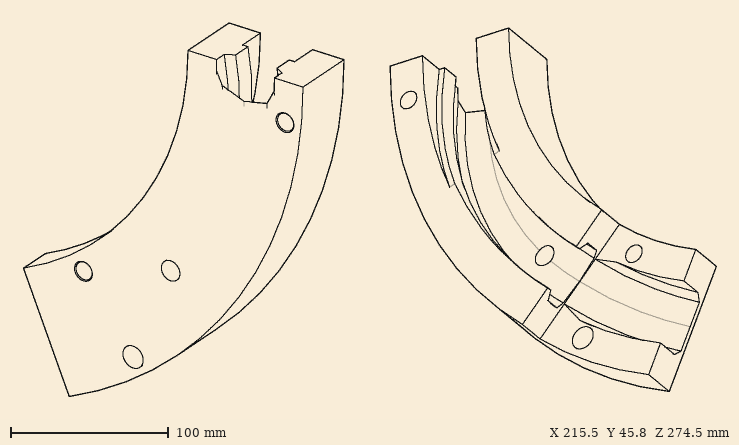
import cadquery as cq
import math

outer_radius = 299.1
inner_radius = 210.5
mid_radius = (outer_radius + inner_radius) / 2
segment_height = 274.5
thickness = 45.8
end_angle = math.degrees(math.asin(segment_height / outer_radius))

lap_angle = 48.0
front_layer = 24.7

neck_width = 31.8
lower_width = 44.5
upper_width = 40.0
floor_middle_y = -5.2
floor_edge_y = -4.0
floor_corner_width = 5.0
floor_corner_height = 2.2
wall_end_y = 8.5
neck_start_y = 12.0
neck_end_y = 25.8
track_rise = 30.2

pocket_width = 44.0
pocket_floor = 3.3
pocket_corner = 4.7

overrun = 1.5
path_points = 6

plain_holes = [
    (mid_radius, 39.3, 14.3),
    (286.2, 54.0, 15.6),
]
small_hole = 12.3
chamfered_holes = [
    (286.8, 5.9, small_hole),
    (223.5, 54.4, small_hole),
]
hole_chamfer = 0.69


def ring_point(radius, angle):
    """Return the (x, z) position at a radius and an angle below the +X axis."""
    turn = math.radians(angle)
    return (radius * math.cos(turn), -radius * math.sin(turn))


def ring_sector(start, stop, y_start, depth):
    """Solid ring sector between two angles, from y_start towards +Y."""
    middle = (start + stop) / 2
    return (
        cq.Workplane("XZ", origin=(0, y_start, 0))
        .moveTo(*ring_point(outer_radius, start))
        .threePointArc(ring_point(outer_radius, middle), ring_point(outer_radius, stop))
        .lineTo(*ring_point(inner_radius, stop))
        .threePointArc(ring_point(inner_radius, middle), ring_point(inner_radius, start))
        .close()
        .extrude(-depth)
    )


def swept_groove(half_outline, start, stop, rise_at):
    """Sweep a symmetric (half width, y) outline along the ring, raised by rise_at(angle)."""
    angles = [start + (stop - start) * i / (path_points - 1) for i in range(path_points)]
    points = []
    for angle in angles:
        x, z = ring_point(mid_radius, angle)
        points.append(cq.Vector(x, rise_at(angle), z))
    path_edge = cq.Edge.makeSpline(points)
    path = cq.Workplane("XY").add(path_edge).toPending()
    guide = cq.Workplane("XY").add(path_edge.translate(cq.Vector(0, thickness, 0))).toPending()

    turn = math.radians(start)
    profile_plane = cq.Plane(
        origin=points[0].toTuple(),
        xDir=(math.cos(turn), 0, -math.sin(turn)),
        normal=(math.sin(turn), 0, math.cos(turn)),
    )
    mirrored = [(-x, y) for x, y in reversed(half_outline) if x > 0]
    outline = cq.Workplane(profile_plane).polyline(half_outline + mirrored).close()
    return outline.sweep(path, auxSpine=guide)


def track_shift(angle):
    """Climb of the track, steepest at the upper end face and level at the lap."""
    return track_rise * math.sin(math.pi / 2 * angle / lap_angle)


def main_track():
    """Groove with a bevelled floor, wide walls, a narrow neck and a wider channel behind it."""
    half_width = lower_width / 2
    half_outline = [
        (0, floor_middle_y),
        (half_width - floor_corner_width, floor_edge_y),
        (half_width, floor_edge_y + floor_corner_height),
        (half_width, wall_end_y),
        (neck_width / 2, neck_start_y),
        (neck_width / 2, neck_end_y),
        (upper_width / 2, neck_end_y),
        (upper_width / 2, neck_end_y + thickness),
    ]
    return swept_groove(half_outline, -overrun, lap_angle + overrun, track_shift)


def pocket_shift(angle):
    """Floor height of the lap pocket above its lowest level at the end face."""
    return (front_layer - pocket_floor) * (end_angle - angle) / (end_angle - lap_angle)


def lap_pocket():
    """Bevelled channel in the front layer only, open to the lap face and the end face."""
    half_outline = [
        (0, pocket_floor),
        (pocket_width / 2 - pocket_corner, pocket_floor),
        (pocket_width / 2, pocket_floor + pocket_corner),
        (pocket_width / 2, pocket_floor + thickness),
    ]
    pocket = swept_groove(half_outline, lap_angle, end_angle + overrun, pocket_shift)
    front_only = ring_sector(lap_angle, end_angle + 2 * overrun, 0, front_layer)
    return pocket.intersect(front_only)


def bolt_hole(radius, angle, diameter):
    """Through hole along Y."""
    x, z = ring_point(radius, angle)
    return cq.Workplane("XZ").center(x, z).circle(diameter / 2).extrude(-thickness)


def mouth_chamfer(radius, angle, diameter):
    """Cone that breaks the front edge of a bolt hole."""
    x, z = ring_point(radius, angle)
    mouth_radius = diameter / 2 + hole_chamfer
    front_centre = cq.Vector(x, 0, z)
    cone = cq.Solid.makeCone(mouth_radius, diameter / 2, hole_chamfer, front_centre, cq.Vector(0, 1, 0))
    return cq.Workplane("XY").add(cone)


front_part = ring_sector(0, end_angle, 0, front_layer)
full_part = ring_sector(0, lap_angle, 0, thickness)
result = front_part.union(full_part)
for groove in (main_track(), lap_pocket()):
    result = result.cut(groove)
for hole in plain_holes + chamfered_holes:
    result = result.cut(bolt_hole(*hole))
for hole in chamfered_holes:
    result = result.cut(mouth_chamfer(*hole))